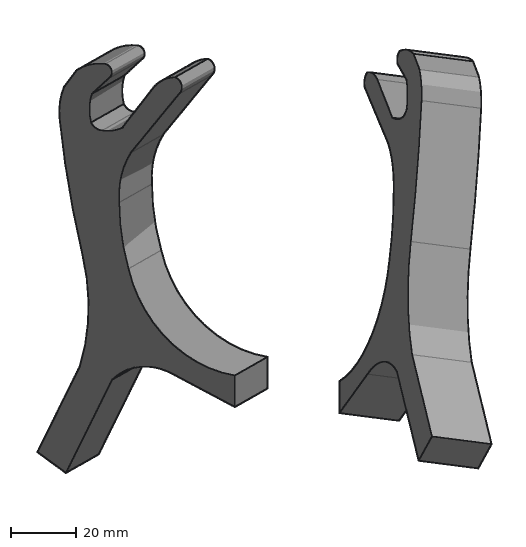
import cadquery as cq

height = 135.0
width = 70.0
thickness = 20.0

foot_left = (0, 5.0)
foot_right = (10.1, 0)
leg_left_top = (15.0, 35.4)
leg_right_top = (26.5, 33.1)

arm_top_z = 42.1
arm_upper_sweep = (45.0, 50.5)
arm_bottom_z = 31.9
arm_lower_bend = (48.6, 38.5)
arm_lower_sweep = (36.5, 39.0)

stem_left_inflection = (15.9, 71.8)
stem_lower_bulge = (18.1, 53.7)
stem_left_hollow = (11.1, 93.2)
stem_left_top = (7.8, 114.6)
stem_right_top = (33.2, 108.0)
stem_right_bend = (29.8, 100.2)
stem_waist = (29.0, 91.1)
stem_waist_lower = (29.8, 80.5)
stem_right_middle = (32.3, 70.2)

hook_back = (9.5, 125.0)
hook_back_bulge = (8.1, 120.5)
hook_shoulder = (13.9, 131.2)
hook_brow = (18.5, 133.8)
hook_tip_top = (23.9, height)
hook_tip_nose = (26.3, 133.3)
hook_tip_bottom = (25.5, 130.8)

notch_upper = (19.3, 124.5)
notch_back = (18.5, 119.8)
notch_lower = (19.0, 115.2)
notch_round = (20.4, 113.8)
notch_floor = (22.8, 113.3)
notch_rise = (26.5, 113.8)
notch_corner = (30.0, 115.3)

prong_shoulder = (41.3, 130.7)
prong_brow = (44.7, 133.5)
prong_tip_top = (48.7, height)
prong_tip_nose = (51.0, 133.1)
prong_tip_bottom = (50.4, 130.1)

profile = (
    cq.Workplane("XZ")
    .moveTo(*foot_left)
    .lineTo(*leg_left_top)
    .threePointArc(stem_lower_bulge, stem_left_inflection)
    .threePointArc(stem_left_hollow, stem_left_top)
    .threePointArc(hook_back_bulge, hook_back)
    .lineTo(*hook_shoulder)
    .threePointArc(hook_brow, hook_tip_top)
    .threePointArc(hook_tip_nose, hook_tip_bottom)
    .lineTo(*notch_upper)
    .threePointArc(notch_back, notch_lower)
    .threePointArc(notch_round, notch_floor)
    .threePointArc(notch_rise, notch_corner)
    .lineTo(*prong_shoulder)
    .threePointArc(prong_brow, prong_tip_top)
    .threePointArc(prong_tip_nose, prong_tip_bottom)
    .lineTo(*stem_right_top)
    .threePointArc(stem_right_bend, stem_waist)
    .threePointArc(stem_waist_lower, stem_right_middle)
    .threePointArc(arm_upper_sweep, (width, arm_top_z))
    .lineTo(width, arm_bottom_z)
    .lineTo(*arm_lower_bend)
    .threePointArc(arm_lower_sweep, leg_right_top)
    .lineTo(*foot_right)
    .close()
)

result = profile.extrude(thickness / 2, both=True)